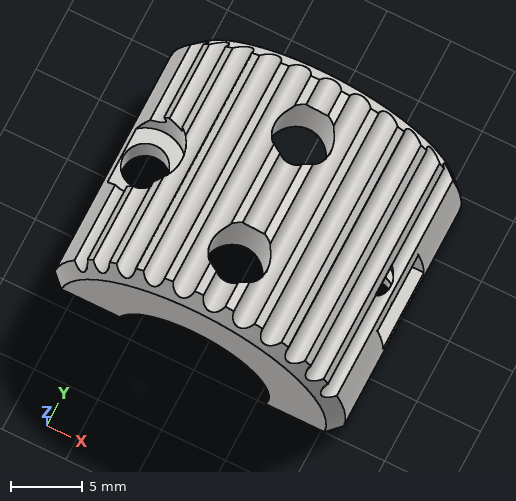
import cadquery as cq
import math

outer_radius = 11.5
bore_radius = 6.0
length = 20.0
end_chamfer = 1.0
split_offset = 1.8

groove_radius = 0.91
groove_depth = 0.65
groove_count = 11
groove_pitch = 12
grip_tilt = 6

hole_tilt = 7.2
tilted_hole_diameter = 4.4
tilted_hole_spacing = 9.85

screw_x = 8.8
screw_diameter = 3.4
screw_head_diameter = 5.74
screw_head_seat_z = 4.4
blind_hole_top_z = 4.4

nut_slot_width = 6.35
nut_slot_floor_z = 0
nut_slot_top_z = 3.13
nut_slot_inner_x = screw_x - screw_diameter / 2


def cylinder_along_y(radius, x=0, z=0):
    """Solid cylinder spanning the full length, centred on Y = 0."""
    return cq.Workplane("XZ").center(x, z).circle(radius).extrude(length / 2, both=True)


def upright_cylinder(diameter, x, bottom_z, top_z):
    """Solid cylinder along Z, centred on Y = 0."""
    return (
        cq.Workplane("XY", origin=(x, 0, bottom_z))
        .circle(diameter / 2)
        .extrude(top_z - bottom_z)
    )


def box_between(x_min, x_max, width, z_min, z_max):
    """Box centred on Y = 0 between the given X and Z limits."""
    return cq.Workplane("XY").box(x_max - x_min, width, z_max - z_min).translate(
        ((x_min + x_max) / 2, 0, (z_min + z_max) / 2)
    )


def half_shell():
    """Chamfered tube with a stepped split between its two halves."""
    tube = cylinder_along_y(outer_radius).edges().chamfer(end_chamfer)
    tube = tube.cut(cylinder_along_y(bore_radius))
    left = box_between(-outer_radius, 0, length, split_offset, outer_radius)
    right = box_between(0, outer_radius, length, -split_offset, outer_radius)
    return tube.intersect(left.union(right))


def cut_grooves(body):
    centre_radius = outer_radius - groove_depth + groove_radius
    for index in range(groove_count):
        steps_from_middle = index - (groove_count - 1) / 2
        angle = math.radians(grip_tilt + steps_from_middle * groove_pitch)
        x = centre_radius * math.sin(angle)
        z = centre_radius * math.cos(angle)
        body = body.cut(cylinder_along_y(groove_radius, x, z))
    return body


def cut_tilted_holes(body):
    """Pair of tilted holes whose axes meet the outer surface at the middle groove."""
    groove_angle = math.radians(grip_tilt)
    mouth_x = outer_radius * math.sin(groove_angle)
    mouth_z = outer_radius * math.cos(groove_angle)
    axis_x = mouth_x - mouth_z * math.tan(math.radians(hole_tilt))
    holes = (
        cq.Workplane("XY")
        .pushPoints([(0, -tilted_hole_spacing / 2), (0, tilted_hole_spacing / 2)])
        .circle(tilted_hole_diameter / 2)
        .extrude(2 * outer_radius)
        .rotate((0, 0, 0), (0, 1, 0), hole_tilt)
        .translate((axis_x, 0, 0))
    )
    return body.cut(holes)


def cut_screw_holes(body):
    """Counterbored through hole on the left, blind hole from below on the right."""
    clearance = upright_cylinder(screw_diameter, -screw_x, 0, outer_radius)
    head = upright_cylinder(screw_head_diameter, -screw_x, screw_head_seat_z, outer_radius)
    blind = upright_cylinder(screw_diameter, screw_x, -split_offset, blind_hole_top_z)
    return body.cut(clearance).cut(head).cut(blind)


def cut_nut_slot(body):
    slot = box_between(
        nut_slot_inner_x, outer_radius, nut_slot_width, nut_slot_floor_z, nut_slot_top_z
    )
    return body.cut(slot)


result = half_shell()
result = cut_grooves(result)
result = cut_tilted_holes(result)
result = cut_screw_holes(result)
result = cut_nut_slot(result)